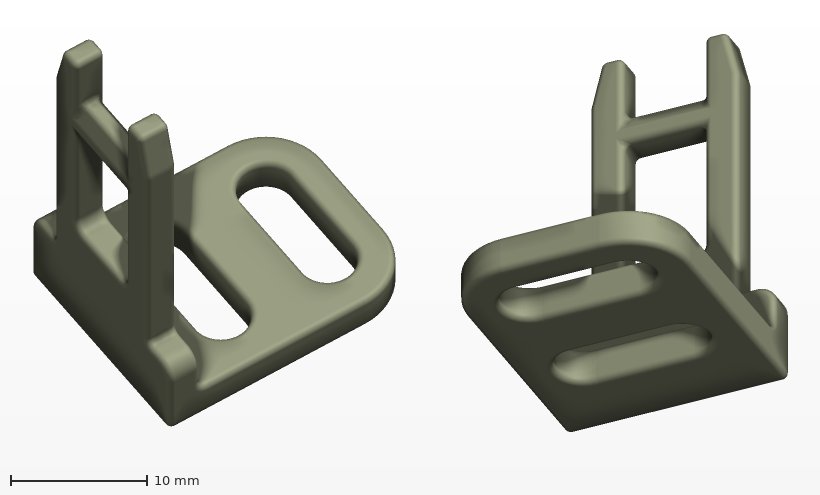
import cadquery as cq
import math

width = 18.0
depth = 22.5
height = 30.0

base_thickness = 3.0
base_corner_radius = 5.0
slot_width = 4.38
slot_centre_spacing = 7.98
rear_slot_y = depth - base_corner_radius
front_slot_y = 8.0

upright_thickness = 2.7
shoulder_height = 7.0
shoulder_radius = 1.5
shoulder_inner_radius = 0.5
fork_width = 12.0
tip_inset = 0.95
taper_start_height = 26.22
taper_blend_radius = 2.0
fork_gap = 6.6
gap_floor_height = 11.0
gap_floor_radius = 1.0

bar_bottom = 22.38
bar_top = 25.05
bevel_inset = 0.8
bevel_angle = 30.0

inside_corner_radius = 0.8
edge_radius = 0.5

tolerance = 0.03
sharp_angle = 5.0


def box(x_size, y_min, y_max, z_min, z_max):
    """Block centred on X between the given Y and Z limits."""
    size = (x_size, y_max - y_min, z_max - z_min)
    block = cq.Workplane("XY").box(*size, centered=(True, False, False))
    return block.translate((0, y_min, z_min))


def base_plate():
    plate = box(width, 0, depth, 0, base_thickness)
    plate = plate.edges("|Z and >Y").fillet(base_corner_radius)
    slots = (
        cq.Workplane("XY")
        .pushPoints([(0, front_slot_y), (0, rear_slot_y)])
        .slot2D(slot_centre_spacing + slot_width, slot_width)
        .extrude(base_thickness)
    )
    return plate.cut(slots)


def round_at(body, x, z, radius):
    """Round the edges along Y that stand at +x and -x at height z."""
    for side in (-1, 1):
        corner = cq.selectors.BoxSelector(
            (side * x - tolerance, 0, z - tolerance),
            (side * x + tolerance, upright_thickness, z + tolerance),
        )
        body = body.edges("|Y").edges(corner).fillet(radius)
    return body


def upright():
    right_side = [
        (width / 2, 0),
        (width / 2, shoulder_height),
        (fork_width / 2, shoulder_height),
        (fork_width / 2, taper_start_height),
        (fork_width / 2 - tip_inset, height),
    ]
    left_side = [(-x, z) for x, z in reversed(right_side)]
    body = (
        cq.Workplane("XZ")
        .polyline(right_side + left_side)
        .close()
        .extrude(-upright_thickness)
    )
    gap = box(fork_gap, 0, upright_thickness, gap_floor_height, height)
    body = body.cut(gap.edges("|Y and <Z").fillet(gap_floor_radius))
    body = round_at(body, width / 2, shoulder_height, shoulder_radius)
    body = round_at(body, fork_width / 2, shoulder_height, shoulder_inner_radius)
    return round_at(body, fork_width / 2, taper_start_height, taper_blend_radius)


def cross_bar():
    bevel_bottom = bar_top - bevel_inset / math.tan(math.radians(bevel_angle))
    section = [
        (0, bar_bottom),
        (upright_thickness, bar_bottom),
        (upright_thickness, bevel_bottom),
        (upright_thickness - bevel_inset, bar_top),
        (bevel_inset, bar_top),
        (0, bevel_bottom),
    ]
    return cq.Workplane("YZ").polyline(section).close().extrude(fork_gap / 2, both=True)


def sharp_edge_test(body):
    """Make a test for edges whose two faces meet at an angle."""
    faces_of_edge = {}
    for face in body.faces().vals():
        for edge in face.Edges():
            faces_of_edge.setdefault(edge.hashCode(), []).append(face)

    def test(edge):
        faces = faces_of_edge[edge.hashCode()]
        if len(faces) < 2:
            return False
        middle = edge.positionAt(0.5)
        first, second = [face.normalAt(middle) for face in faces]
        return math.degrees(first.getAngle(second)) > sharp_angle

    return test


def is_bar_end(edge):
    """Tell whether an edge is part of a corner between the cross bar and a prong."""
    centre = edge.Center()
    on_prong = abs(abs(centre.x) - fork_gap / 2) < tolerance
    return on_prong and bar_bottom - tolerance < centre.z < bar_top + tolerance


def round_inside_corner(body):
    """Round the inside corner where the upright rises from the plate."""
    corner = cq.selectors.BoxSelector(
        (-width, upright_thickness - tolerance, base_thickness - tolerance),
        (width, upright_thickness + tolerance, base_thickness + tolerance),
    )
    return body.edges("|X").edges(corner).fillet(inside_corner_radius)


def round_edges(body):
    """Round the outer edges first, then the mitred corners left at the bar ends."""
    sharp_edges = body.edges().filter(sharp_edge_test(body))
    body = sharp_edges.filter(lambda edge: not is_bar_end(edge)).fillet(edge_radius)
    return body.edges().filter(sharp_edge_test(body)).fillet(edge_radius)


body = base_plate().union(upright()).union(cross_bar())
result = round_edges(round_inside_corner(body))